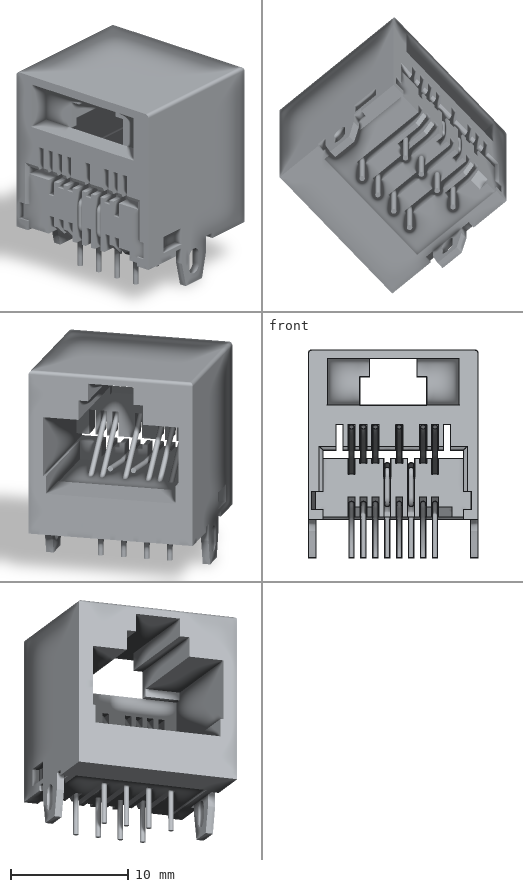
import cadquery as cq
import math


WIDTH = 14.49
DEPTH = 13.0
HEIGHT = 17.73
HOUSING_BOTTOM = 3.26
TOP_EDGE_RADIUS = 0.3

REAR_WALL = 2.0
STOP_WALL = 0.71
FRONT_LIP_TOP = 6.91
CAVITY_TOP = 13.7
LATCH_STEP = 15.43
LATCH_TOP = 16.99
LATCH_WIDE = 5.71
LATCH_NARROW = 4.02

WINDOW_WIDTH = 11.24
WINDOW_BOTTOM = 13.01

BAY_WIDTH = 11.95
BAY_DEPTH = 9.05
BAY_TOP = 9.17
MOUTH_CHAMFER = 0.34
INSERT_INSET = 0.18

CATCH_BOTTOM = 4.11
CATCH_TOP = 5.64
CATCH_REACH = 6.63
CATCH_STEP = 0.05
CATCH_STEP_ENDS = [2.41, 3.2, 4.49]
LEFT_MOUTH_REACH = 6.97
RIGHT_MOUTH_REACH = 6.68
CATCH_WINDOW_START = 2.02
CATCH_WINDOW_END = CATCH_STEP_ENDS[-1]
CATCH_RAMP_LENGTH = 0.35

TAB_THICKNESS = 0.65
TAB_Y = 6.17
TAB_WIDTH = 3.25
TAB_TIP_WIDTH = 2.18
TAB_TAPER_START = 2.25
TAB_SLOT_WIDTH = 1.28
TAB_SLOT_LENGTH = 2.29
TAB_SLOT_Z = 1.99
RELIEF_WIDTH = 4.93
RELIEF_TOP = 3.74

INSERT_BOTTOM = 3.48
INSERT_TOP = 8.47
INSERT_WALL = 1.6
SIDE_ARM = 0.25
TRAY_FLOOR = 6.8
NOTCH_FLOOR = 8.07
DEEP_NOTCH_FLOOR = 7.13
LEG_SLOT_TOP = 5.18
UNDERCUT = 0.85
UNDERCUTS = [(-3.32, -1.77), (2.78, 5.0)]

PIN_DIAMETER = 0.46
PITCH = 1.018
PIN_COUNT = 8
REVERSED_PINS = (4, 6)
SLOT_WIDTH = 0.59
COMB_TOP = 11.35
NEAR_LEG_Y = 2.82
FAR_LEG_Y = 6.86
RUN_Z = 4.6
NEAR_BEND = 0.71
FAR_BEND = 0.35
TIP_Y = 1.06
TIP_Z = 11.17
CONTACT_ANGLE = 40.0
REVERSED_BEND = 0.53
REVERSED_REAR_Y = INSERT_INSET + PIN_DIAMETER / 2
REVERSED_RUN_Z = 7.48
REVERSED_RISE_Y = 3.55
REVERSED_TIP_Y = 7.45
REVERSED_TIP_Z = 7.89


def box(x_range, y_range, z_range):
    """Block between the given limits on each axis."""
    size = [high - low for low, high in (x_range, y_range, z_range)]
    corner = (x_range[0], y_range[0], z_range[0])
    return cq.Workplane("XY").box(*size, centered=False).translate(corner)


def centred_box(width, y_range, z_range):
    """Block of the given width, centred on X = 0."""
    return box((-width / 2, width / 2), y_range, z_range)


def pin_x(number):
    """X of a pin position; 0 and 9 are the spare positions outside the pins."""
    return (number - (PIN_COUNT + 1) / 2) * PITCH


def slot(number, y_range, z_range):
    """Slot-sized block at a pin position."""
    return centred_box(SLOT_WIDTH, y_range, z_range).translate((pin_x(number), 0, 0))


def leg_y(number):
    """The legs stand in two staggered rows."""
    return NEAR_LEG_Y if number % 2 == 0 else FAR_LEG_Y


def contact_bend(number):
    """The contact pins of the near row have the wider bends."""
    return NEAR_BEND if number % 2 == 0 else FAR_BEND


def plug_opening():
    """Cavity for the plug, with the stepped latch slots above and the rear window."""
    stop_face = REAR_WALL + STOP_WALL
    front_lip_width = BAY_WIDTH - 2 * SIDE_ARM
    opening = centred_box(BAY_WIDTH, (REAR_WALL, DEPTH), (INSERT_TOP, WINDOW_BOTTOM))
    opening = opening.union(centred_box(BAY_WIDTH, (stop_face, DEPTH), (INSERT_TOP, CAVITY_TOP)))
    opening = opening.union(centred_box(front_lip_width, (BAY_DEPTH, DEPTH), (FRONT_LIP_TOP, INSERT_TOP)))
    opening = opening.union(centred_box(LATCH_WIDE, (REAR_WALL, DEPTH), (WINDOW_BOTTOM, LATCH_STEP)))
    opening = opening.union(centred_box(LATCH_NARROW, (REAR_WALL, DEPTH), (LATCH_STEP, LATCH_TOP)))
    return opening.union(centred_box(WINDOW_WIDTH, (0, REAR_WALL), (WINDOW_BOTTOM, LATCH_TOP)))


def insert_bay():
    """Bay open at the rear and below, with a bevelled mouth above the catches."""
    bay = centred_box(BAY_WIDTH, (0, BAY_DEPTH), (HOUSING_BOTTOM, BAY_TOP))
    mouth_height = BAY_TOP + MOUTH_CHAMFER - CATCH_TOP
    mouth = (
        cq.Workplane("XZ")
        .center(0, CATCH_TOP + mouth_height / 2)
        .rect(BAY_WIDTH + 2 * MOUTH_CHAMFER, mouth_height)
        .workplane(offset=-INSERT_INSET)
        .center(0, -MOUTH_CHAMFER / 2)
        .rect(BAY_WIDTH, mouth_height - MOUTH_CHAMFER)
        .loft(ruled=True)
    )
    return bay.union(mouth)


def catch_pocket(side, mouth_reach):
    """Groove in a side wall that ramps in to a catch window in the outer face."""
    groove = (
        cq.Workplane("XY", origin=(0, 0, CATCH_BOTTOM))
        .polyline([
            (0, 0),
            (side * mouth_reach, 0),
            (side * mouth_reach, CATCH_WINDOW_START - CATCH_RAMP_LENGTH),
            (side * CATCH_REACH, CATCH_WINDOW_START),
            (side * CATCH_REACH, CATCH_WINDOW_END),
            (0, CATCH_WINDOW_END),
        ])
        .close()
        .extrude(CATCH_TOP - CATCH_BOTTOM)
    )
    window_x = sorted((0, side * WIDTH / 2))
    return groove.union(box(window_x, (CATCH_WINDOW_START, CATCH_WINDOW_END), (CATCH_BOTTOM, CATCH_TOP)))


def mounting_tab(outer_x):
    """Tapered tab with an oblong hole, reaching down from the side wall."""
    return (
        cq.Workplane("YZ", origin=(outer_x, 0, 0))
        .polyline([
            (TAB_Y - TAB_TIP_WIDTH / 2, 0),
            (TAB_Y + TAB_TIP_WIDTH / 2, 0),
            (TAB_Y + TAB_WIDTH / 2, TAB_TAPER_START),
            (TAB_Y + TAB_WIDTH / 2, RELIEF_TOP),
            (TAB_Y - TAB_WIDTH / 2, RELIEF_TOP),
            (TAB_Y - TAB_WIDTH / 2, TAB_TAPER_START),
        ])
        .close()
        .extrude(TAB_THICKNESS)
        .faces("<X")
        .workplane(origin=(outer_x, TAB_Y, TAB_SLOT_Z))
        .slot2D(TAB_SLOT_LENGTH, TAB_SLOT_WIDTH, 90)
        .cutThruAll()
    )


def make_housing():
    body = centred_box(WIDTH, (0, DEPTH), (HOUSING_BOTTOM, HEIGHT))
    body = body.faces(">Z").edges("<X or >X or >Y").fillet(TOP_EDGE_RADIUS)
    body = body.cut(plug_opening()).cut(insert_bay())

    for number in range(PIN_COUNT + 2):
        if number not in REVERSED_PINS:
            body = body.cut(slot(number, (0, REAR_WALL), (INSERT_TOP, COMB_TOP)))

    relief_y = (TAB_Y - RELIEF_WIDTH / 2, TAB_Y + RELIEF_WIDTH / 2)
    for side, mouth_reach in ((-1, LEFT_MOUTH_REACH), (1, RIGHT_MOUTH_REACH)):
        body = body.cut(catch_pocket(side, mouth_reach))
        tab_x = sorted((side * WIDTH / 2, side * (WIDTH / 2 - TAB_THICKNESS)))
        body = body.cut(box(tab_x, relief_y, (HOUSING_BOTTOM, RELIEF_TOP)))
        body = body.union(mounting_tab(tab_x[0]))
    return body


def sweep_pin(number, points, bend):
    """Round wire along a bent path of (y, z) points that starts at the tip of the leg."""
    x = pin_x(number)
    corners = [cq.Vector(x, y, z) for y, z in points]
    path = cq.Wire.makePolygon(corners)
    path = path.fillet2D(bend, path.Vertices()[1:-1])
    return (
        cq.Workplane("XY", origin=corners[0].toTuple())
        .circle(PIN_DIAMETER / 2)
        .sweep(cq.Workplane(path))
    )


def make_contact_pin(number):
    """Leg, run toward the front, and a contact that slants back up to the rear comb."""
    turn_y = TIP_Y + (TIP_Z - RUN_Z) / math.tan(math.radians(CONTACT_ANGLE))
    points = [(leg_y(number), 0), (leg_y(number), RUN_Z), (turn_y, RUN_Z), (TIP_Y, TIP_Z)]
    return sweep_pin(number, points, contact_bend(number))


def make_reversed_pin(number):
    """Leg, run toward the rear, a riser in the rear slot, and a contact toward the front."""
    points = [
        (leg_y(number), 0),
        (leg_y(number), RUN_Z),
        (REVERSED_REAR_Y, RUN_Z),
        (REVERSED_REAR_Y, REVERSED_RUN_Z),
        (REVERSED_RISE_Y, REVERSED_RUN_Z),
        (REVERSED_TIP_Y, REVERSED_TIP_Z),
    ]
    return sweep_pin(number, points, REVERSED_BEND)


def make_pin(number):
    return make_reversed_pin(number) if number in REVERSED_PINS else make_contact_pin(number)


def make_insert(pins):
    tray_start = INSERT_INSET + INSERT_WALL
    body = centred_box(BAY_WIDTH, (INSERT_INSET, BAY_DEPTH), (INSERT_BOTTOM, INSERT_TOP))
    body = body.cut(
        centred_box(BAY_WIDTH - 2 * SIDE_ARM, (tray_start, BAY_DEPTH), (TRAY_FLOOR, INSERT_TOP))
    )

    for step, step_end in enumerate(CATCH_STEP_ENDS):
        catch_width = 2 * (CATCH_REACH - step * CATCH_STEP)
        body = body.union(centred_box(catch_width, (INSERT_INSET, step_end), (CATCH_BOTTOM, CATCH_TOP)))

    for start, end in UNDERCUTS:
        wedge = (
            cq.Workplane("YZ", origin=(start, 0, 0))
            .moveTo(INSERT_INSET, INSERT_BOTTOM)
            .lineTo(INSERT_INSET + UNDERCUT, INSERT_BOTTOM)
            .lineTo(INSERT_INSET, INSERT_BOTTOM + UNDERCUT)
            .close()
            .extrude(end - start)
        )
        body = body.cut(wedge)

    for number in range(1, PIN_COUNT + 1):
        if number in REVERSED_PINS:
            riser_depth = REVERSED_REAR_Y + REVERSED_BEND
            body = body.cut(slot(number, (INSERT_INSET, riser_depth), (INSERT_BOTTOM, INSERT_TOP)))
            body = body.cut(slot(number, (INSERT_INSET, tray_start), (TRAY_FLOOR, INSERT_TOP)))
        else:
            notch_floor = DEEP_NOTCH_FLOOR if number in (1, PIN_COUNT) else NOTCH_FLOOR
            leg_depth = leg_y(number) + contact_bend(number)
            body = body.cut(slot(number, (INSERT_INSET, tray_start), (notch_floor, INSERT_TOP)))
            body = body.cut(slot(number, (INSERT_INSET, leg_depth), (INSERT_BOTTOM, LEG_SLOT_TOP)))

    for pin in pins:
        body = body.cut(pin)
    return body


housing = make_housing()
pins = [make_pin(number) for number in range(1, PIN_COUNT + 1)]
insert = make_insert(pins)

result = cq.Compound.makeCompound([
    housing.solids().val(),
    insert.solids().val(),
    *[pin.val() for pin in pins],
])